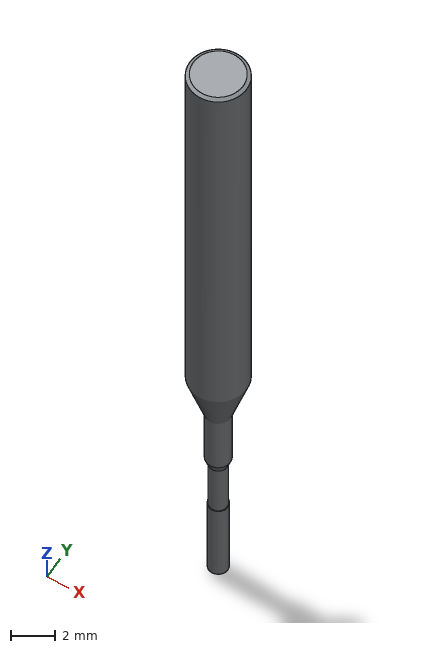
import cadquery as cq
import math

overall_length = 37.5
shank_bottom = 14.65
taper_bottom = 11.85
neck_bottom = 8.55
step_bottom = 8.05
cutter_top = 5.05

shank_diameter = 3.0
neck_diameter = 1.28
stem_diameter = 0.95
cutter_diameter = 1.0

chamfer_width = 0.2
chamfer_height = 0.1

point_angle = 118.0


def revolve_profile(points):
    """Turn a half profile of (radius, height) points around the Z axis."""
    return cq.Workplane("XZ").polyline(points).close().revolve(360, (0, 0, 0), (0, 1, 0))


def make_holder():
    """Chamfered shank that tapers to a neck and steps down to a thin stem."""
    shank_radius = shank_diameter / 2
    neck_radius = neck_diameter / 2
    stem_radius = stem_diameter / 2
    return revolve_profile([
        (0, cutter_top),
        (stem_radius, cutter_top),
        (stem_radius, step_bottom),
        (neck_radius, neck_bottom),
        (neck_radius, taper_bottom),
        (shank_radius, shank_bottom),
        (shank_radius, overall_length - chamfer_height),
        (shank_radius - chamfer_width, overall_length),
        (0, overall_length),
    ])


def make_cutter():
    """Cylindrical cutting end with a conical drill point."""
    cutter_radius = cutter_diameter / 2
    point_height = cutter_radius / math.tan(math.radians(point_angle / 2))
    return revolve_profile([
        (0, 0),
        (cutter_radius, point_height),
        (cutter_radius, cutter_top),
        (0, cutter_top),
    ])


holder = make_holder()
cutter = make_cutter()

result = cq.Compound.makeCompound([holder.val(), cutter.val()])